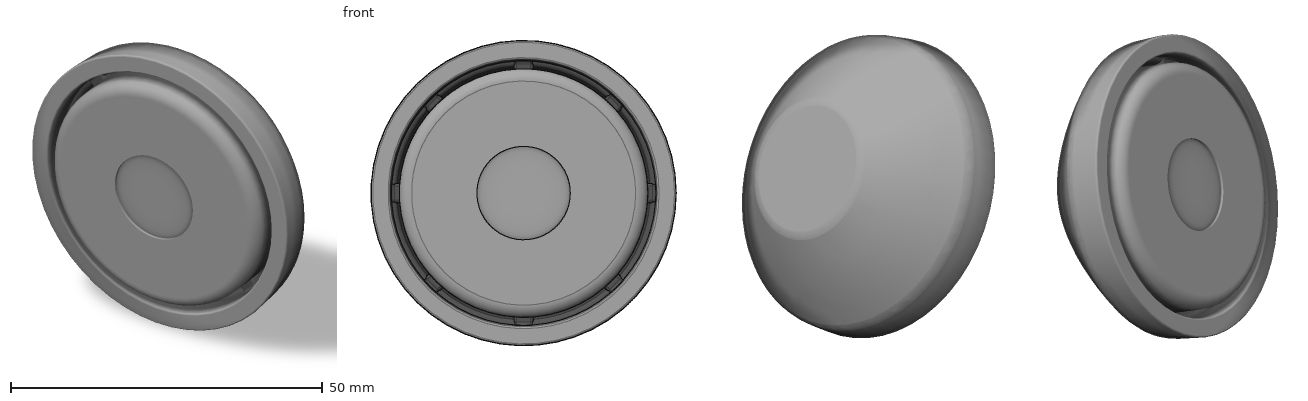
import cadquery as cq
import math


PICK_MARGIN = 0.05

rim_radius = 24.5
rim_y = 1.55
rim_land_y = 2.0
back_y = 19.5
back_corner_radius = 11.02
shoulder_radius = 24.1
shoulder_y = 7.55
dome_mid_radius = 18.25
dome_mid_y = 13.6
shoulder_fillet = 2.7
back_fillet = 2.2
rim_fillet = 0.3

mouth_radius = 21.75
mouth_fillet = 0.3
wall_foot_y = 5.4
wall_foot_radius = 21.2
bore_radius = 20.35
floor_y = 7.85

rib_count = 8
rib_width = 3.15
rib_blend = 0.5
rib_edge_fillet = 0.45
rib_inner_radius = 19.1

disc_radius = 19.95
disc_fillet = 1.95
dimple_radius = 7.5
dimple_depth = 0.5


def turn(profile):
    """Revolve a closed (radius, y) profile about the Y axis."""
    return profile.close().revolve(360, (0, 0, 0), (0, 1, 0))


def make_cap_blank():
    blank = turn(
        cq.Workplane("XY")
        .moveTo(0, rim_y)
        .lineTo(rim_radius, rim_y)
        .lineTo(rim_radius, rim_land_y)
        .lineTo(shoulder_radius, shoulder_y)
        .threePointArc((dome_mid_radius, dome_mid_y), (back_corner_radius, back_y))
        .lineTo(0, back_y)
    )
    blank = blank.faces("<Y").edges().fillet(rim_fillet)
    blank = blank.faces(">Y").edges().fillet(back_fillet)
    shoulder = cq.selectors.BoxSelector(
        (-rim_radius, shoulder_y - PICK_MARGIN, -rim_radius),
        (rim_radius, shoulder_y + PICK_MARGIN, rim_radius),
    )
    return blank.edges(shoulder).fillet(shoulder_fillet)


def make_recess():
    """Drafted wall below the rounded mouth, a convex round at its foot, then a drafted bore to the floor."""
    wall_top_radius = mouth_radius - mouth_fillet
    wall_top_y = rim_y + mouth_fillet
    foot_round = wall_foot_radius - bore_radius
    bore_top_y = wall_foot_y + foot_round
    mouth_mid = mouth_fillet * math.sqrt(0.5)
    foot_mid = foot_round * math.sqrt(0.5)
    return turn(
        cq.Workplane("XY")
        .moveTo(0, rim_y)
        .lineTo(mouth_radius, rim_y)
        .threePointArc((mouth_radius - mouth_mid, wall_top_y - mouth_mid), (wall_top_radius, wall_top_y))
        .lineTo(wall_foot_radius, wall_foot_y)
        .threePointArc((wall_foot_radius - foot_mid, bore_top_y - foot_mid), (bore_radius, bore_top_y))
        .lineTo(disc_radius, floor_y)
        .lineTo(0, floor_y)
    )


def make_rib():
    """Rib at the +Z side: flat front face, concave blend to the wall, rounded side edges."""
    blend_y = wall_foot_y - rib_blend
    face_radius = wall_foot_radius - rib_blend
    blend_mid = rib_blend * math.sqrt(0.5)
    ring = turn(
        cq.Workplane("XY")
        .moveTo(rib_inner_radius, floor_y)
        .lineTo(rib_inner_radius, wall_foot_y)
        .lineTo(face_radius, wall_foot_y)
        .threePointArc((face_radius + blend_mid, blend_y + blend_mid), (wall_foot_radius, blend_y))
        .lineTo(mouth_radius, blend_y)
        .lineTo(mouth_radius, floor_y)
    )
    slice_box = cq.Workplane("XY").box(rib_width, 2 * floor_y, mouth_radius, centered=(True, True, False))
    rib = ring.intersect(slice_box)
    front_edges = cq.selectors.BoxSelector(
        (-rib_width, blend_y, rib_inner_radius - rib_blend),
        (rib_width, wall_foot_y + PICK_MARGIN, wall_foot_radius),
    )
    side_edges = rib.faces("<X or >X").edges(front_edges)
    return side_edges.fillet(rib_edge_fillet)


def make_cylinder(radius, length):
    """Cylinder on the Y axis with its front face at Y = 0."""
    return turn(cq.Workplane("XY").lineTo(radius, 0).lineTo(radius, length).lineTo(0, length))


def make_cap():
    cap = make_cap_blank().cut(make_recess())
    rib = make_rib()
    for i in range(rib_count):
        cap = cap.union(rib.rotate((0, 0, 0), (0, 1, 0), i * 360 / rib_count))
    return cap.cut(make_cylinder(disc_radius, floor_y))


def make_disc():
    disc = make_cylinder(disc_radius, floor_y)
    disc = disc.faces("<Y").edges().fillet(disc_fillet)
    return disc.cut(make_cylinder(dimple_radius, dimple_depth))


cap = make_cap()
disc = make_disc()

result = cq.Compound.makeCompound([cap.val(), disc.val()])